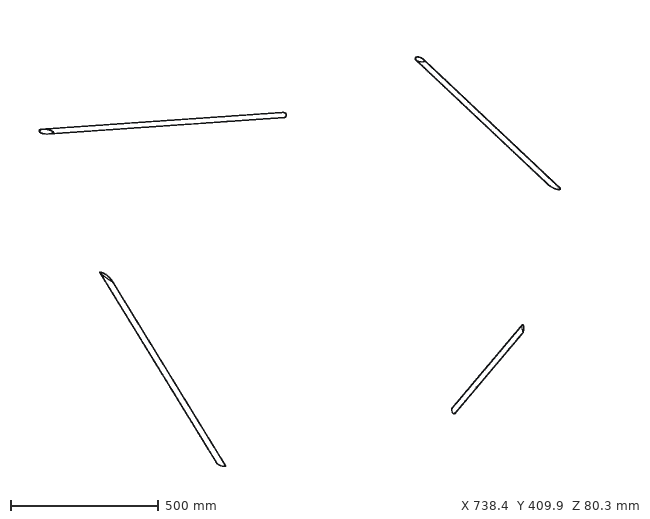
import cadquery as cq
import math

tube_width = 22.0
tube_height = 19.0
wall_thickness = 1.5
tube_roll = 13.0
plan_angle = 30.05
rise_per_y = 0.15

rail_radius = 22.0
rail_length = 443.0
rail_axis_spacing = 446.5
lower_rail_yaw = 7.0
upper_rail_yaw = -10.0
upper_rail_drop = 3.0

half_spacing = rail_axis_spacing / 2
half_rise = half_spacing * rise_per_y
half_run = half_spacing / math.tan(math.radians(plan_angle))
axis_end = cq.Vector(half_run, half_spacing, half_rise)


def make_tube():
    """Straight hollow tube reaching from one rail axis to the other."""
    sideways = cq.Vector(axis_end.y, -axis_end.x, 0)
    tube_plane = cq.Plane(
        origin=(-axis_end).toTuple(), xDir=sideways.toTuple(), normal=axis_end.toTuple()
    ).rotated((0, 0, -tube_roll))
    half_width = tube_width / 2
    half_height = tube_height / 2
    return (
        cq.Workplane(tube_plane)
        .ellipse(half_width, half_height)
        .ellipse(half_width - wall_thickness, half_height - wall_thickness)
        .extrude(2 * axis_end.Length)
    )


def make_rail(center, yaw):
    """Solid cylinder standing in for a rail, centred near an end of the tube axis."""
    return (
        cq.Workplane("YZ")
        .circle(rail_radius)
        .extrude(rail_length / 2, both=True)
        .rotate((0, 0, 0), (0, 0, 1), yaw)
        .translate(center)
    )


lower_rail = make_rail(-axis_end, lower_rail_yaw)
upper_rail_center = axis_end - cq.Vector(0, 0, upper_rail_drop)
upper_rail = make_rail(upper_rail_center, upper_rail_yaw)
coped_tube = make_tube().cut(lower_rail).cut(upper_rail)

result = cq.Workplane(max(coped_tube.solids().vals(), key=lambda solid: solid.Volume()))